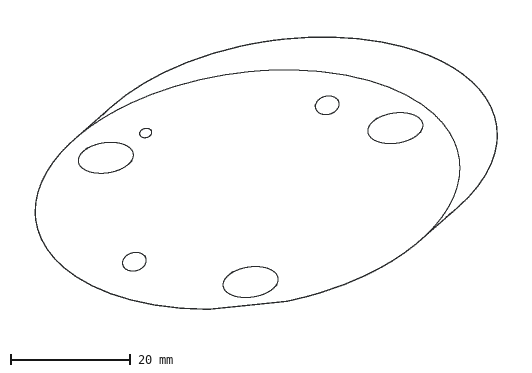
import cadquery as cq
import math

disc_diameter = 50.8
overall_depth = 61.5
overall_height = 50.4
slice_depth = overall_depth - disc_diameter
plate_thickness = slice_depth / math.sqrt(2)
radius = disc_diameter / 2
flat_z = radius - overall_height

clearance_diameter = 6.6
clearance_circle_radius = 20.0
clearance_center_x = 0.35
clearance_angles = (30, 150, 270)

mount_diameter = 4.0
pin_diameter = 2.0
square_holes = [
    (9.55, 16.4, mount_diameter),
    (-13.55, -13.05, mount_diameter),
    (-12.2, 14.45, pin_diameter),
]
cut_margin = 3.1


def slanted_plate():
    """Sheared slab, trimmed to the round outline with a flat at the bottom."""
    slab = (
        cq.Workplane("XY")
        .polyline([
            (-radius, -overall_depth / 2),
            (radius, overall_depth / 2 - slice_depth),
            (radius, overall_depth / 2),
            (-radius, -overall_depth / 2 + slice_depth),
        ])
        .close()
        .extrude(radius, both=True)
    )
    bar = cq.Workplane("XZ").circle(radius).extrude(overall_depth, both=True)
    above_flat = (
        cq.Workplane("XY")
        .workplane(offset=flat_z)
        .rect(2 * overall_depth, 2 * overall_depth)
        .extrude(disc_diameter)
    )
    return slab.intersect(bar).intersect(above_flat)


def clearance_holes():
    centers = [
        (
            clearance_center_x + clearance_circle_radius * math.cos(math.radians(angle)),
            clearance_circle_radius * math.sin(math.radians(angle)),
        )
        for angle in clearance_angles
    ]
    return (
        cq.Workplane("XZ")
        .pushPoints(centers)
        .circle(clearance_diameter / 2)
        .extrude(overall_depth, both=True)
    )


def square_hole(x, z, diameter):
    """Through hole normal to the slanted faces, centred at (x, z) on the -Y face."""
    face_y = x - slice_depth / 2
    face_plane = cq.Plane(origin=(x, face_y, z), xDir=(0, 0, 1), normal=(-1, 1, 0))
    return (
        cq.Workplane(face_plane)
        .workplane(offset=-cut_margin)
        .circle(diameter / 2)
        .extrude(plate_thickness + 2 * cut_margin)
    )


result = slanted_plate().cut(clearance_holes())
for hole_x, hole_z, hole_diameter in square_holes:
    result = result.cut(square_hole(hole_x, hole_z, hole_diameter))